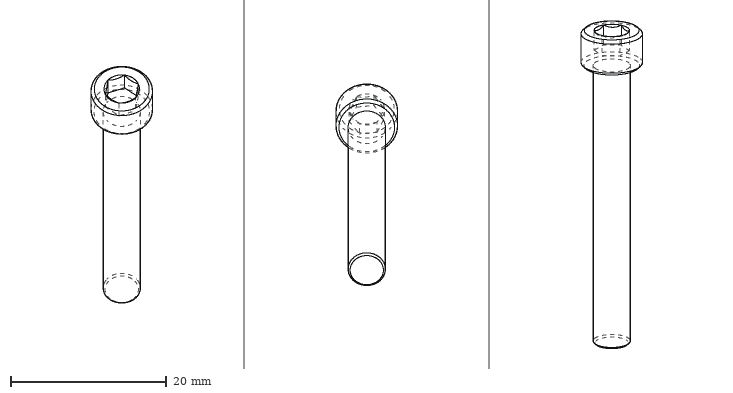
import cadquery as cq
import math

total_length = 42.95
head_diameter = 7.95
shank_diameter = 4.8
head_height = shank_diameter
head_top_chamfer = 0.45
head_bottom_chamfer = 0.4
tip_chamfer = 0.25
hex_across_flats = 3.95
socket_depth = 2.75

head_base = total_length - head_height
hex_across_corners = hex_across_flats / math.cos(math.pi / 6)


def make_shank():
    shank = cq.Workplane("XY").circle(shank_diameter / 2).extrude(head_base)
    return shank.faces("<Z").chamfer(tip_chamfer)


def make_head():
    head = cq.Workplane("XY").workplane(offset=head_base).circle(head_diameter / 2).extrude(head_height)
    head = head.faces(">Z").chamfer(head_top_chamfer)
    return head.faces("<Z").chamfer(head_bottom_chamfer)


def make_socket():
    """Hexagonal drive recess with two corners on the Y axis and a 45 degree conical lead-in."""
    socket_floor = cq.Workplane("XY").workplane(offset=total_length - socket_depth)
    hexagon = (
        socket_floor.transformed(rotate=(0, 0, 90))
        .polygon(6, hex_across_corners)
        .extrude(socket_depth)
    )
    mouth_radius = hex_across_corners / 2
    lead_in_height = mouth_radius
    lead_in = cq.Workplane(
        cq.Solid.makeCone(mouth_radius, 0, lead_in_height,
                          pnt=cq.Vector(0, 0, total_length), dir=cq.Vector(0, 0, -1))
    )
    return hexagon.union(lead_in)


result = make_shank().union(make_head()).cut(make_socket())